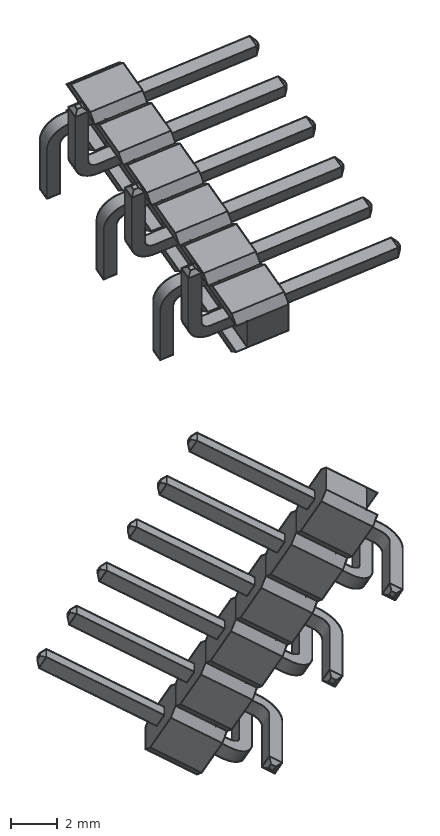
import cadquery as cq

position_count = 6
pitch = 2.54

block_depth = pitch
block_height = pitch
block_chamfer = 0.4
recess_depth = 0.54

pin_width = 0.64
tip_taper = 0.2
mating_length = 6.02
tail_reach = 1.8
tail_height = 4.27
bend_outer_radius = 1.1

half_pin = pin_width / 2
bend_radius = bend_outer_radius - half_pin
tail_y = -tail_reach + half_pin
mating_tip_y = block_depth + mating_length


def make_block():
    """Block with chamfered long edges and a recess across its front face."""
    block = (
        cq.Workplane("XY")
        .box(pitch, block_depth, block_height, centered=(True, False, True))
        .edges("|Y")
        .chamfer(block_chamfer)
    )
    recess_height = block_height - 2 * block_chamfer
    recess = cq.Workplane("XY").box(
        pitch, recess_depth, recess_height, centered=(True, False, True)
    )
    return block.cut(recess)


def make_pin():
    """Square pin bent downwards in front of the block, tapered at both tips."""
    axis = (
        cq.Workplane("YZ")
        .moveTo(mating_tip_y, 0)
        .lineTo(tail_y + bend_radius, 0)
        .radiusArc((tail_y, -bend_radius), -bend_radius)
        .lineTo(tail_y, -tail_height)
    )
    pin = (
        cq.Workplane("XZ", origin=(0, mating_tip_y, 0))
        .rect(pin_width, pin_width)
        .sweep(axis)
    )
    pin = pin.faces(">Y").chamfer(tip_taper)
    return pin.faces("<Z").chamfer(tip_taper)


def make_position(index):
    """One block with its pin; every second tail is turned to point upwards."""
    turn = 180 * (index % 2)
    x = (index - (position_count - 1) / 2) * pitch
    position = make_block().union(make_pin())
    return position.rotate((0, 0, 0), (0, 1, 0), turn).translate((x, 0, 0))


header_positions = [make_position(index).solids().val() for index in range(position_count)]

result = cq.Compound.makeCompound(header_positions)